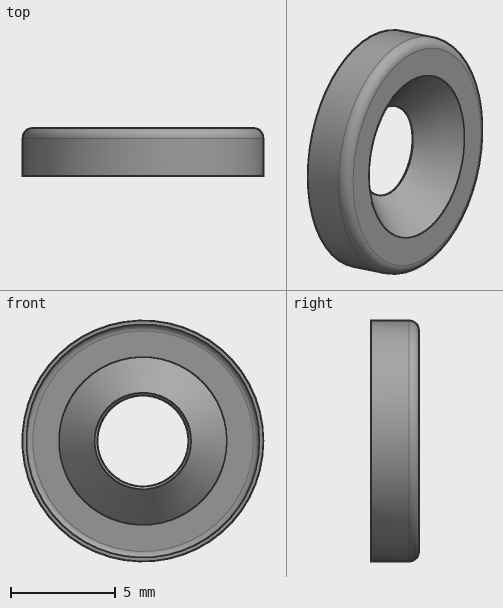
import cadquery as cq
import math

outer_radius = 5.75
depth = 2.3
sheet = 0.2
inner_fillet = 0.3
outer_fillet = inner_fillet + sheet
cone_base_radius = 4.0
cone_tip_radius = 2.3
cone_angle = math.radians(45)

floor_y = depth - sheet
wall_radius = outer_radius - sheet
fillet_center = (outer_radius - outer_fillet, depth - outer_fillet)
tip_y = floor_y - (cone_base_radius - cone_tip_radius) * math.tan(cone_angle)

bore_radius = cone_tip_radius - sheet * math.sin(cone_angle)
bore_y = tip_y + sheet * math.cos(cone_angle)
cone_mouth_radius = bore_radius + (depth - bore_y) / math.tan(cone_angle)


def fillet_middle(radius):
    """Midpoint of a quarter round about the shared fillet center."""
    offset = radius * math.sqrt(0.5)
    return (fillet_center[0] + offset, fillet_center[1] + offset)


profile = (
    cq.Workplane("XY")
    .moveTo(outer_radius, 0)
    .lineTo(outer_radius, fillet_center[1])
    .threePointArc(fillet_middle(outer_fillet), (fillet_center[0], depth))
    .lineTo(cone_mouth_radius, depth)
    .lineTo(bore_radius, bore_y)
    .lineTo(cone_tip_radius, tip_y)
    .lineTo(cone_base_radius, floor_y)
    .lineTo(fillet_center[0], floor_y)
    .threePointArc(fillet_middle(inner_fillet), (wall_radius, fillet_center[1]))
    .lineTo(wall_radius, 0)
    .close()
)

result = profile.revolve(360, (0, 0, 0), (0, 1, 0))